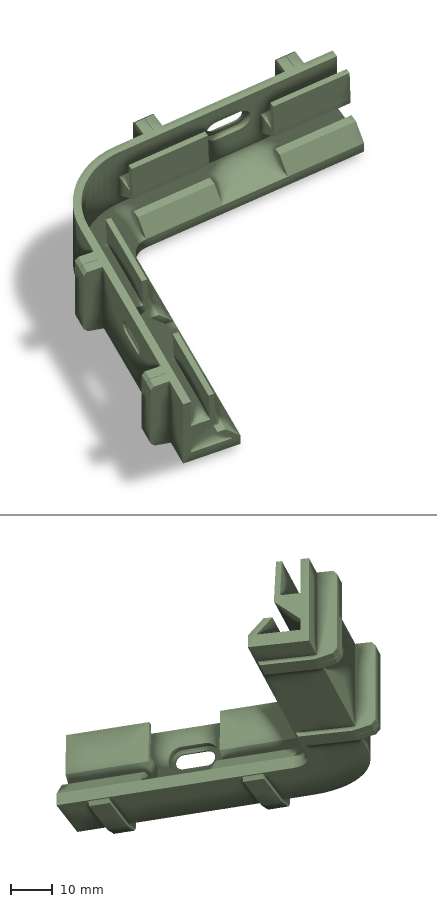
import cadquery as cq

arm_angle = 95.7
arm_length = 60.0
plain_length = 18.0
clip_length = (arm_length - plain_length) / 2
outer_radius = 20.0
turn_angle = 180 - arm_angle

tray_width = 15.0
wall_height = 22.05
wall_thickness = 2.1
floor_thickness = 3.15

shelf_height = 13.0
shelf_tip_thickness = 1.6
gusset_foot_height = 6.0
lip_thickness = 1.4
lip_top_inset = 8.1
lip_lean = 0.45
lip_foot_inset = lip_top_inset + lip_lean

barb_height = 7.3
barb_width = 2.2
barb_lean = 3.9

hook_width = 5.2
hook_reach = 4.95
hook_drop = 1.1
hook_top_chamfer = 0.9
hook_nose_height = 1.3
hook_nose_depth = 1.1
hook_ramp_end = 0.7
hook_tail_end = 14.6
hook_tail_chamfer = 0.5
slit_width = 0.1

slot_length = 10.0
slot_width = 4.0
slot_height = 14.0
slot_web = 0.45
pocket_margin = 1.3


def section(points):
    """Closed section in the YZ plane, with the outer wall face at the outer radius."""
    return cq.Workplane("YZ").polyline([(inset - outer_radius, z) for inset, z in points]).close()


def bar(points, start, length):
    """Section extruded along +X from start."""
    return section(points).extrude(length).translate((start, 0, 0))


tray_points = [
    (0, 0),
    (tray_width, 0),
    (tray_width, floor_thickness),
    (wall_thickness, floor_thickness),
    (wall_thickness, wall_height),
    (0, wall_height),
]

bracket_points = [
    (wall_thickness, gusset_foot_height),
    (lip_foot_inset, shelf_height - shelf_tip_thickness),
    (lip_foot_inset, shelf_height),
    (lip_top_inset, wall_height),
    (lip_top_inset - lip_thickness, wall_height),
    (lip_foot_inset - lip_thickness, shelf_height),
    (wall_thickness, shelf_height),
]

barb_points = [
    (tray_width - barb_width, floor_thickness),
    (tray_width, floor_thickness),
    (tray_width - barb_lean, barb_height),
    (tray_width - barb_lean - barb_width, barb_height),
]

hook_points = [
    (0, wall_height),
    (hook_top_chamfer - hook_reach, wall_height),
    (-hook_reach, wall_height - hook_top_chamfer),
    (-hook_reach, hook_nose_height),
    (hook_nose_depth - hook_reach, 0),
    (hook_ramp_end, -hook_drop),
    (hook_tail_end - hook_tail_chamfer, -hook_drop),
    (hook_tail_end, 0),
    (0, 0),
]

slit_points = [
    (-hook_reach, -hook_drop),
    (0, -hook_drop),
    (0, wall_height),
    (-hook_reach, wall_height),
]


def make_hook(middle):
    """Hook centred on the given X, with a fine slit through the part outside the wall."""
    hook = bar(hook_points, middle - hook_width / 2, hook_width)
    return hook.cut(bar(slit_points, middle - slit_width / 2, slit_width))


def make_clip_piece(start):
    tray = bar(tray_points, start, clip_length)
    bracket = bar(bracket_points, start, clip_length)
    barb = bar(barb_points, start, clip_length)
    hook = make_hook(start + clip_length / 2)
    return tray.union(bracket).union(barb).union(hook).val()


def slot_cutter(middle, length, width, first_inset, last_inset):
    """Horizontal slot through the wall between two insets from its outer face."""
    return (
        cq.Workplane("XZ", origin=(middle, last_inset - outer_radius, slot_height))
        .slot2D(length, width)
        .extrude(last_inset - first_inset)
    )


def make_plain_piece(start):
    middle = start + plain_length / 2
    slot = slot_cutter(middle, slot_length, slot_width, 0, wall_thickness)
    pocket = slot_cutter(
        middle,
        slot_length + 2 * pocket_margin,
        slot_width + 2 * pocket_margin,
        slot_web,
        wall_thickness,
    )
    return bar(tray_points, start, plain_length).cut(slot).cut(pocket).val()


def make_bend():
    return section(tray_points).revolve(turn_angle, (0, 0, 0), (0, -1, 0)).val()


def second_arm_copy(body):
    """The matching body of the second arm: mirrored, then swung round the bend."""
    return body.mirror("YZ").rotate(cq.Vector(0, 0, 0), cq.Vector(0, 0, 1), -turn_angle)


clip_pieces = [make_clip_piece(start) for start in (0, clip_length + plain_length)]
plain_piece = make_plain_piece(clip_length)
first_arm = [*clip_pieces, plain_piece]
second_arm = [second_arm_copy(body) for body in first_arm]
bend = make_bend()

result = cq.Compound.makeCompound([*first_arm, bend, *second_arm])